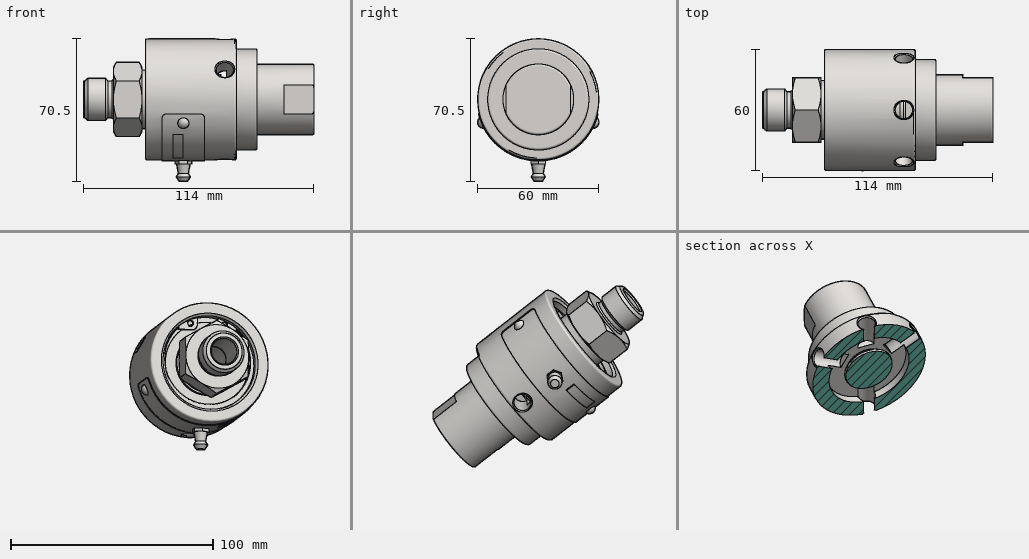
import cadquery as cq
import math


total_length = 114.0
neck_start = 11.0
nut_start = 14.8
nut_end = 29.0
body_start = 30.5
flange_start = 75.6
flange_end = 85.8
wrench_flat_start = 99.1

stub_diameter = 21.0
stub_tip_diameter = 18.2
stub_tip_length = 0.6
stub_tip_round = 0.5
stub_bevel_length = 1.6
neck_diameter = 18.2
neck_flare = 0.8
neck_taper_length = 1.1
stub_bore_diameter = 13.0
stub_inner_bore_diameter = 12.7
stub_bore_mouth_diameter = 14.2
stub_bore_mouth_depth = 0.8
stub_bore_depth = 22.8
stub_inner_bore_depth = 57.0

nut_across_flats = 31.9
nut_bevel_angle = 30.0
collar_diameter = 29.2
collar_end = 34.9
shoulder_diameter = 31.2

body_diameter = 60.0
flange_diameter = 50.0
spindle_diameter = 35.0
spindle_across_flats = 31.9
edge_round = 1.0

recess_diameter = 47.0
recess_mouth_diameter = 49.2
recess_depth = 5.9
inner_recess_diameter = 42.2
inner_recess_depth = 0.5
ring_thickness = 1.7
ring_inner_radius = 21.9
ring_inner_offset = 1.5
lug_inner_side = 5.2
lug_outer_side = 14.6
lug_bottom = 16.8
lug_corner_radius = 2.5
lug_hole_diameter = 3.0
lug_hole_side = 8.7
lug_hole_height = 20.0

chamber_diameter = 42.2
chamber_start = 65.2
chamber_end = 70.6
shaft_diameter = 19.0
front_ring_diameter = 24.9
front_ring_end = 68.0
rear_shoulder_diameter = 20.5
rear_shoulder_start = 69.8
vent_position = 69.9
vent_angles = (30, 90, 150, 270)
vent_diameter = 8.5
vent_mouth_diameter = 9.8
vent_mouth_depth = 0.2
vent_floor_radius = 13.1

plate_center = 49.4
plate_width = 21.1
plate_thickness = 0.5
plate_edge_height = -7.2
plate_corner_radius = 2.3
panel_start = 44.2
panel_end = 49.2
panel_top = -17.4
panel_bottom = -29.1
panel_depth = 0.1
rivet_diameter = 6.0
rivet_center_radius = 29.3
rivet_angle = 22.8

nipple_across_flats = 7.3
nipple_hex_bottom = -31.9
nipple_bottom = -40.5
nipple_root_diameter = 6.8
nipple_waist_diameter = 5.1
nipple_waist_height = -36.6
nipple_head_diameter = 7.1
nipple_head_height = -38.3
nipple_tip_diameter = 4.2

hexagon_half_angle = 30.0
overlap = 1.1

body_radius = body_diameter / 2
plate_radius = body_radius + plate_thickness


def cylinder_x(diameter, start, end):
    """Solid cylinder on the X axis."""
    return cq.Workplane("YZ", origin=(start, 0, 0)).circle(diameter / 2).extrude(end - start)


def cone_x(start_diameter, end_diameter, start, end):
    """Truncated cone on the X axis."""
    return turned([(start, 0), (start, start_diameter / 2), (end, end_diameter / 2), (end, 0)])


def turned(profile):
    """Solid of revolution about X from (x, radius) points."""
    return cq.Workplane("XY").polyline(profile).close().revolve(360, (0, 0, 0), (1, 0, 0))


def stub():
    tip = stub_tip_diameter / 2
    outer = stub_diameter / 2
    neck = neck_diameter / 2
    blank = turned([
        (0, 0),
        (0, tip),
        (stub_tip_length, tip),
        (stub_tip_length + stub_bevel_length, outer),
        (neck_start, outer),
        (neck_start + neck_taper_length, neck),
        (nut_start - neck_flare, neck),
        (nut_start, neck + neck_flare),
        (nut_start, 0),
    ])
    return blank.faces("<X").edges().fillet(stub_tip_round)


def nut():
    """Hexagon with corners up and down, both faces bevelled to the inscribed circle."""
    corner_radius = nut_across_flats / 2 / math.cos(math.radians(hexagon_half_angle))
    flat_radius = nut_across_flats / 2
    bevel = (corner_radius - flat_radius) * math.tan(math.radians(nut_bevel_angle))
    hexagon = (
        cq.Workplane("YZ", origin=(nut_start, 0, 0))
        .polygon(6, 2 * corner_radius)
        .extrude(nut_end - nut_start)
        .rotate((0, 0, 0), (1, 0, 0), hexagon_half_angle)
    )
    envelope = turned([
        (nut_start, 0),
        (nut_start, flat_radius),
        (nut_start + bevel, corner_radius),
        (nut_end - bevel, corner_radius),
        (nut_end, flat_radius),
        (nut_end, 0),
    ])
    return hexagon.intersect(envelope)


def spindle():
    """Output spindle with two wrench flats facing +Y and -Y."""
    blank = cylinder_x(spindle_diameter, flange_end, total_length).faces(">X").edges().fillet(edge_round)
    flat_length = total_length - wrench_flat_start
    flats = cq.Workplane("XY").box(
        flat_length, spindle_across_flats, spindle_diameter
    ).translate((wrench_flat_start + flat_length / 2, 0, 0))
    return blank.intersect(flats.union(cylinder_x(spindle_diameter, flange_end, wrench_flat_start)))


def body():
    shell = cylinder_x(body_diameter, body_start, flange_start).edges().fillet(edge_round)
    flange = cylinder_x(flange_diameter, flange_start, flange_end).faces(">X").edges().fillet(edge_round)
    recess_end = body_start + recess_depth
    mouth_depth = (recess_mouth_diameter - recess_diameter) / 2
    mouth = cone_x(recess_mouth_diameter, recess_diameter, body_start, body_start + mouth_depth)
    shell = shell.cut(cylinder_x(recess_diameter, body_start, recess_end)).cut(mouth)
    shell = shell.cut(cylinder_x(inner_recess_diameter, recess_end, recess_end + inner_recess_depth))
    return shell.union(flange)


def retaining_ring():
    """Internal circlip: eccentric ring open at the top, with a drilled lug on each side of the gap."""
    ring_start = body_start + recess_depth - ring_thickness

    def ring_plane():
        return cq.Workplane("YZ", origin=(ring_start, 0, 0))

    disc = cylinder_x(recess_diameter, ring_start, ring_start + ring_thickness)
    opening = ring_plane().center(0, ring_inner_offset).circle(ring_inner_radius).extrude(ring_thickness)
    gap_height = recess_diameter / 2
    gap = ring_plane().center(0, gap_height).rect(2 * lug_outer_side, gap_height).extrude(ring_thickness)
    ring = disc.cut(opening).cut(gap)
    lug_width = lug_outer_side - lug_inner_side
    lug_height = recess_diameter / 2 - lug_bottom
    for side in (-1, 1):
        lug_side = side * (lug_inner_side + lug_width / 2)
        lug = (
            ring_plane()
            .center(lug_side, lug_bottom + lug_height / 2)
            .rect(lug_width, lug_height)
            .extrude(ring_thickness)
            .edges("|X and <Z")
            .edges("<Y" if side > 0 else ">Y")
            .fillet(lug_corner_radius)
        )
        hole = (
            ring_plane()
            .center(side * lug_hole_side, lug_hole_height)
            .circle(lug_hole_diameter / 2)
            .extrude(ring_thickness)
        )
        ring = ring.union(lug.intersect(disc).cut(hole))
    return ring


def chamber():
    """Annular space around the shaft, narrowed by a shaft ring in front and a low shoulder behind."""
    space = cylinder_x(chamber_diameter, chamber_start, chamber_end)
    shaft = cylinder_x(shaft_diameter, chamber_start, chamber_end)
    front_ring = cylinder_x(front_ring_diameter, chamber_start, front_ring_end)
    rear_shoulder = cylinder_x(rear_shoulder_diameter, rear_shoulder_start, chamber_end)
    return space.cut(shaft).cut(front_ring).cut(rear_shoulder)


def vent(angle):
    """Radial hole into the chamber with a bevelled mouth; angle is measured from +Y towards +Z."""
    bevel = (vent_mouth_diameter - vent_diameter) / 2
    bevel_end = body_radius - vent_mouth_depth
    outer_end = body_radius + overlap
    profile = [
        (0, vent_floor_radius),
        (vent_diameter / 2, vent_floor_radius),
        (vent_diameter / 2, bevel_end - bevel),
        (vent_mouth_diameter / 2, bevel_end),
        (vent_mouth_diameter / 2, outer_end),
        (0, outer_end),
    ]
    hole = cq.Workplane("XZ").polyline(profile).close().revolve(360, (0, 0, 0), (0, 1, 0))
    return hole.translate((vent_position, 0, 0)).rotate((0, 0, 0), (1, 0, 0), angle - 90)


def name_plate():
    """Thin curved plate wrapped under the body, with a shallow panel on the -Y side."""
    height = plate_edge_height + plate_radius
    window = (
        cq.Workplane("XZ")
        .center(plate_center, plate_edge_height - height / 2)
        .rect(plate_width, height)
        .extrude(plate_radius, both=True)
        .edges("|Y and >Z")
        .fillet(plate_corner_radius)
    )
    plate_end = plate_center + plate_width / 2
    inner_radius = body_radius - plate_thickness
    sleeve = cylinder_x(2 * plate_radius, plate_center - plate_width / 2, plate_end)
    sleeve = sleeve.cut(cylinder_x(2 * inner_radius, plate_center - plate_width / 2, plate_end))
    panel_window = (
        cq.Workplane("XZ")
        .center((panel_start + panel_end) / 2, (panel_top + panel_bottom) / 2)
        .rect(panel_end - panel_start, panel_top - panel_bottom)
        .extrude(plate_radius)
    )
    panel_floor = cylinder_x(2 * (plate_radius - panel_depth), panel_start, panel_end)
    return sleeve.intersect(window).cut(panel_window.cut(panel_floor))


def rivet(side):
    angle = math.radians(rivet_angle)
    across = side * rivet_center_radius * math.cos(angle)
    height = -rivet_center_radius * math.sin(angle)
    return cq.Workplane("XY").sphere(rivet_diameter / 2).translate((plate_center, across, height))


def grease_nipple():
    root_height = -body_radius + overlap
    hexagon = (
        cq.Workplane("XY", origin=(plate_center, 0, nipple_hex_bottom))
        .polygon(6, nipple_across_flats / math.cos(math.radians(hexagon_half_angle)))
        .extrude(root_height - nipple_hex_bottom)
    )
    profile = [
        (0, nipple_hex_bottom),
        (nipple_root_diameter / 2, nipple_hex_bottom),
        (nipple_waist_diameter / 2, nipple_waist_height),
        (nipple_head_diameter / 2, nipple_head_height),
        (nipple_tip_diameter / 2, nipple_bottom),
        (0, nipple_bottom),
    ]
    stem = cq.Workplane("XZ").polyline(profile).close().revolve(360, (0, 0, 0), (0, 1, 0))
    return hexagon.union(stem.translate((plate_center, 0, 0)))


recess_floor = body_start + recess_depth + inner_recess_depth
collar = cylinder_x(collar_diameter, nut_end, collar_end)
shoulder = cylinder_x(shoulder_diameter, collar_end, recess_floor)
stub_bore = cylinder_x(stub_bore_diameter, 0, stub_bore_depth)
stub_inner_bore = cylinder_x(stub_inner_bore_diameter, 0, stub_inner_bore_depth)
stub_bore_mouth = cone_x(stub_bore_mouth_diameter, stub_bore_diameter, 0, stub_bore_mouth_depth)

result = body().cut(chamber())
for vent_angle in vent_angles:
    result = result.cut(vent(vent_angle))
result = result.union(retaining_ring()).union(collar).union(shoulder)
result = result.union(nut()).union(stub()).union(spindle())
result = result.cut(stub_bore).cut(stub_inner_bore).cut(stub_bore_mouth)
result = result.union(name_plate()).union(rivet(-1)).union(rivet(1)).union(grease_nipple())